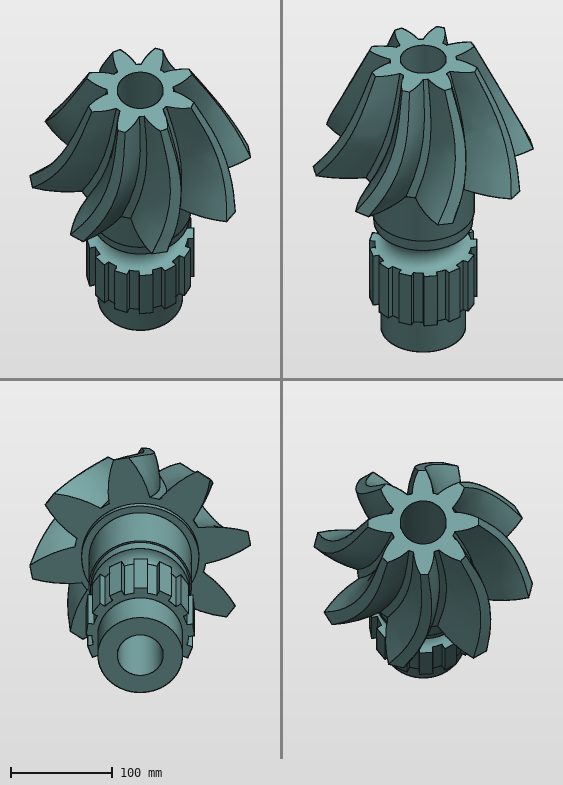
import cadquery as cq
import math

TOTAL_HEIGHT = 332.2
BORE_RADIUS = 22.5

TOOTH_COUNT = 8
GEAR_BOTTOM = 209.5
GEAR_HEIGHT = TOTAL_HEIGHT - GEAR_BOTTOM
GEAR_WIDTH = 218.3
TAPER = 0.5
ROOT_RADIUS = 65.0
TIP_HALF_WIDTH = 7.5
FLANK_MIDDLE = (89.5, 15.5)
FLANK_FOOT = (54.8, 20.5)
TWIST_BOW = 7.6
TWIST_TOTAL = 15.3
SECTION_COUNT = 7

END_RADIUS = 42.0
SPLINE_BOTTOM = 41.5
SPLINE_TOP = 102.5
NECK_RADIUS = 33.0
NECK_TOP = 132.0
SHOULDER_RADIUS = 49.0
SHOULDER_TOP = 145.0
BODY_RADIUS = 50.5
BODY_TOP = 204.0
COLLAR_RADIUS = 57.8

SPLINE_COUNT = 13
SPLINE_FLAT = 52.8
SPLINE_WIDTH = 13.3


def make_shaft():
    """Turned shaft with a half-round groove above the splines."""
    groove_radius = (NECK_TOP - SPLINE_TOP) / 2
    groove_edge = NECK_RADIUS + groove_radius
    return (
        cq.Workplane("XZ")
        .lineTo(END_RADIUS, 0)
        .lineTo(END_RADIUS, SPLINE_BOTTOM)
        .lineTo(groove_edge, SPLINE_BOTTOM)
        .lineTo(groove_edge, SPLINE_TOP)
        .threePointArc((NECK_RADIUS, SPLINE_TOP + groove_radius), (groove_edge, NECK_TOP))
        .lineTo(SHOULDER_RADIUS, NECK_TOP)
        .lineTo(SHOULDER_RADIUS, SHOULDER_TOP)
        .lineTo(BODY_RADIUS, SHOULDER_TOP)
        .lineTo(BODY_RADIUS, BODY_TOP)
        .lineTo(COLLAR_RADIUS, BODY_TOP)
        .lineTo(COLLAR_RADIUS, GEAR_BOTTOM)
        .lineTo(ROOT_RADIUS, GEAR_BOTTOM)
        .lineTo(ROOT_RADIUS * TAPER, TOTAL_HEIGHT)
        .lineTo(0, TOTAL_HEIGHT)
        .close()
        .revolve(360, (0, 0, 0), (0, 1, 0))
    )


def make_spline():
    """One flat-topped spline on the +Y side, reaching in to the axis."""
    return (
        cq.Workplane("XY")
        .workplane(offset=SPLINE_BOTTOM)
        .center(0, SPLINE_FLAT / 2)
        .rect(SPLINE_WIDTH, SPLINE_FLAT)
        .extrude(SPLINE_TOP - SPLINE_BOTTOM)
    )


def tooth_section(fraction):
    """Closed tooth outline at a fraction of the gear height."""
    size = 1 - (1 - TAPER) * fraction
    twist = TWIST_TOTAL * fraction + TWIST_BOW * math.sin(math.pi * fraction)
    tip = (GEAR_WIDTH / 2, TIP_HALF_WIDTH)

    def place(point, side):
        return (size * point[0], size * point[1] * side)

    outline = (
        cq.Workplane("XY")
        .moveTo(*place(FLANK_FOOT, -1))
        .threePointArc(place(FLANK_MIDDLE, -1), place(tip, -1))
        .lineTo(*place(tip, 1))
        .threePointArc(place(FLANK_MIDDLE, 1), place(FLANK_FOOT, 1))
        .close()
    )
    height = GEAR_BOTTOM + GEAR_HEIGHT * fraction
    return outline.val().rotate((0, 0, 0), (0, 0, 1), twist).translate((0, 0, height))


def make_tooth():
    """One curved tooth, centred on +X at its wide end."""
    last = SECTION_COUNT - 1
    sections = [tooth_section(index / last) for index in range(SECTION_COUNT)]
    return cq.Workplane(obj=cq.Solid.makeLoft(sections))


def ring(feature, count):
    """Copies of a feature spaced evenly around the Z axis."""
    return [feature.rotate((0, 0, 0), (0, 0, 1), 360 / count * index) for index in range(count)]


result = make_shaft()
for feature in ring(make_spline(), SPLINE_COUNT) + ring(make_tooth(), TOOTH_COUNT):
    result = result.union(feature)
bore = cq.Workplane("XY").circle(BORE_RADIUS).extrude(TOTAL_HEIGHT)
result = result.cut(bore)